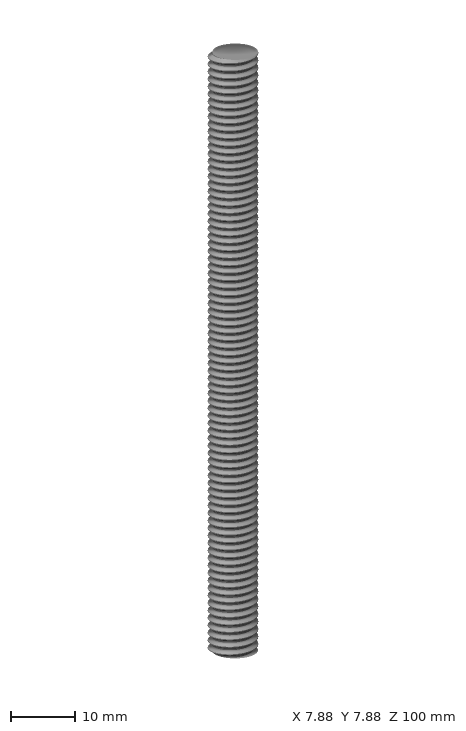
import cadquery as cq
import math

ROD_LENGTH = 100.0
MAJOR_DIAMETER = 7.88
ROOT_DIAMETER = 6.45
PITCH = 1.25
FLANK_ANGLE = 30.0
CREST_WIDTH = PITCH / 8
CREST_DIRECTION = 90.0

major_radius = MAJOR_DIAMETER / 2
root_radius = ROOT_DIAMETER / 2
flank_width = (major_radius - root_radius) * math.tan(math.radians(FLANK_ANGLE))
ridge_width = CREST_WIDTH + 2 * flank_width

SPARE_TURNS = 2
first_z = -SPARE_TURNS * PITCH - ridge_width / 2
turn_count = math.ceil(ROD_LENGTH / PITCH) + 2 * SPARE_TURNS

thread_profile = [
    (root_radius, 0),
    (major_radius, flank_width),
    (major_radius, flank_width + CREST_WIDTH),
    (root_radius, ridge_width),
    (root_radius, PITCH),
]


def helix(radius, height):
    """One turn of a helix that starts on the +X side."""
    wire = cq.Wire.makeHelix(PITCH, PITCH, radius, center=cq.Vector(0, 0, height))
    return wire.Edges()[0]


def turn_faces():
    """The two flanks, the crest and the root over one turn of the thread."""
    helices = [helix(radius, height) for radius, height in thread_profile]
    return [cq.Face.makeRuledSurface(lower, upper) for lower, upper in zip(helices, helices[1:])]


def end_faces():
    """A spiral ramp from the axis to the root, and the step one pitch high beside it."""
    axis_line = cq.Edge.makeLine(cq.Vector(0, 0, 0), cq.Vector(0, 0, PITCH))
    ramp = cq.Face.makeRuledSurface(axis_line, helix(root_radius, 0))
    step_corners = [(0, 0), *thread_profile, (0, PITCH)]
    step_outline = cq.Wire.makePolygon(
        [cq.Vector(radius, 0, height) for radius, height in step_corners], close=True
    )
    return [ramp, cq.Face.makeFromWires(step_outline)]


def long_thread():
    """Threaded solid, longer than the rod, made of whole turns closed by a ramp at each end."""
    one_turn = turn_faces()
    one_end = end_faces()
    faces = []
    for turn in range(turn_count):
        lift = cq.Vector(0, 0, first_z + turn * PITCH)
        faces += [face.translate(lift) for face in one_turn]
    for turn in (0, turn_count):
        lift = cq.Vector(0, 0, first_z + turn * PITCH)
        faces += [face.translate(lift) for face in one_end]
    solid = cq.Solid.makeSolid(cq.Shell.makeShell(faces))
    return cq.Workplane(solid.fix())


clear_radius = 2 * major_radius
rod_space = cq.Workplane("XY").circle(clear_radius).extrude(ROD_LENGTH)
result = long_thread().rotate((0, 0, 0), (0, 0, 1), CREST_DIRECTION).intersect(rod_space)